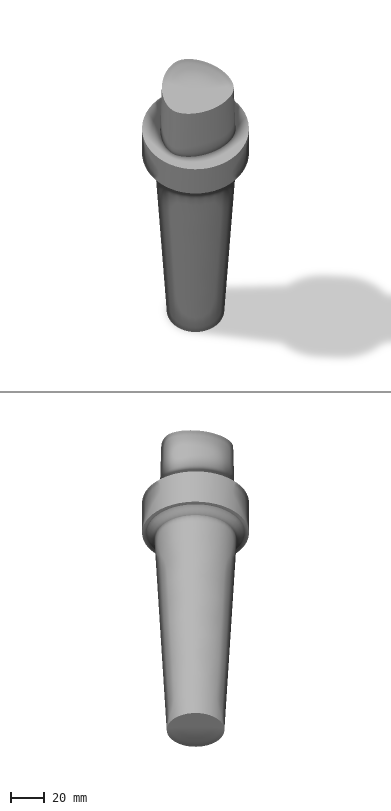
import cadquery as cq
import math

COLLAR_DIAMETER = 63.0
COLLAR_HEIGHT = 22.0

CHAMFER_TOP_DIAMETER = 57.8
CHAMFER_HEIGHT = 4.5

BODY_END_DIAMETER = 34.0
BODY_HALF_ANGLE = 3.0
LENGTH_BELOW_COLLAR_FACE = 165.0

SHANK_LENGTH = 38.0
SHANK_BASE_DIAMETER = 44.3
SHANK_TAPER = 1 / 20
SHANK_ECCENTRICITY = 1.4
CURVE_POINTS = 60

SHANK_TOP_DIAMETER = SHANK_BASE_DIAMETER - SHANK_TAPER * SHANK_LENGTH
BODY_TOP_Z = -(COLLAR_HEIGHT + CHAMFER_HEIGHT)
BODY_END_Z = -LENGTH_BELOW_COLLAR_FACE
BODY_LENGTH = BODY_TOP_Z - BODY_END_Z
BODY_END_RADIUS = BODY_END_DIAMETER / 2
BODY_TOP_RADIUS = BODY_END_RADIUS + BODY_LENGTH * math.tan(math.radians(BODY_HALF_ANGLE))


def make_turned_body():
    """Collar, conical relief and tapered body, revolved about Z."""
    collar_radius = COLLAR_DIAMETER / 2
    return (
        cq.Workplane("XZ")
        .moveTo(0, 0)
        .lineTo(collar_radius, 0)
        .lineTo(collar_radius, -COLLAR_HEIGHT)
        .lineTo(CHAMFER_TOP_DIAMETER / 2, -COLLAR_HEIGHT)
        .lineTo(BODY_TOP_RADIUS, BODY_TOP_Z)
        .lineTo(BODY_END_RADIUS, BODY_END_Z)
        .lineTo(0, BODY_END_Z)
        .close()
        .revolve(360, (0, 0, 0), (0, 1, 0))
    )


def make_lobed_wire(diameter, z):
    """Closed three-lobed curve of constant width, with one lobe pointing to -Y."""
    radius = diameter / 2
    lobe = SHANK_ECCENTRICITY
    points = []
    for i in range(CURVE_POINTS):
        angle = 2 * math.pi * i / CURVE_POINTS
        toward_lobe = radius * math.cos(angle) + 2 * lobe * math.cos(2 * angle) - lobe * math.cos(4 * angle)
        sideways = radius * math.sin(angle) - 2 * lobe * math.sin(2 * angle) - lobe * math.sin(4 * angle)
        points.append(cq.Vector(sideways, -toward_lobe, z))
    return cq.Wire.assembleEdges([cq.Edge.makeSpline(points, periodic=True)])


def make_shank():
    """Tapered three-lobed shank standing on the collar."""
    base = make_lobed_wire(SHANK_BASE_DIAMETER, 0)
    top = make_lobed_wire(SHANK_TOP_DIAMETER, SHANK_LENGTH)
    return cq.Workplane(obj=cq.Solid.makeLoft([base, top], ruled=True))


result = make_turned_body().union(make_shank())